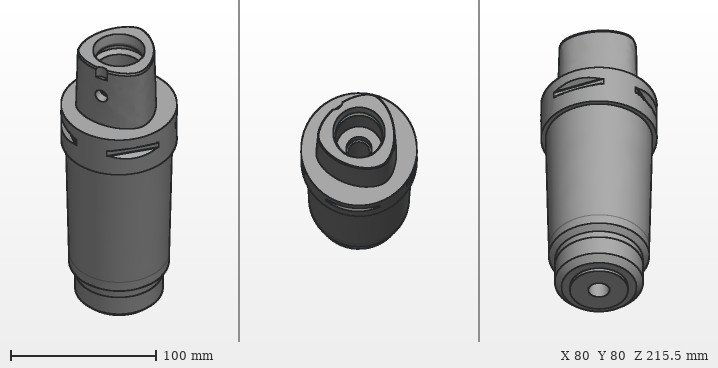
import cadquery as cq
import math

total_height = 215.5
flange_top = 168.0
flange_bottom = 137.5
flange_radius = 80.0 / 2

body_top_radius = 36.8
collar_radius = 34.7
collar_top = 38.8
collar_bottom = 31.0
nut_radius = 30.4
nut_top = 27.4
nut_seam = 22.0
nut_seam_step = 0.1
nut_bottom = 7.3
nut_face_radius = 25.8
nose_height = 2.5
nose_radius = 20.0

shank_radius = 55.4 / 2
lobe_height = 2.02
shank_taper = 1 / 40
shank_chamfer = 1.7
shank_chamfer_inset = 0.6
outline_points = 48

bore_mouth_radius = 17.9
bore_lip_radius = 16.4
bore_cone_depth = 7.0
bore_lip_depth = 8.6
bore_groove_radius = 19.8
bore_groove_depth = 14.2
bore_groove_flank_depth = 16.5
bore_radius = 16.2
bore_depth = 47.4
counterbore_radius = 8.8
counterbore_depth = 56.0
through_radius = 7.3

notch_radius = 5.8
notch_depth = 8.2
notch_inner_y = -22.2
blind_hole_radius = 4.7
blind_hole_floor_y = -18.0
blind_hole_z = 192.4

groove_z = 155.5
groove_floor_distance = 35.3
groove_flare_distance = 36.2
groove_floor_width = 4.3
groove_side_slope = math.tan(math.radians(32))
groove_count = 4
first_groove_angle = 45


def revolve_profile(points):
    """Revolve a closed (radius, height) outline about the Z axis."""
    return cq.Workplane("XZ").polyline(points).close().revolve(360, (0, 0), (0, 1))


def lobed_wire(mean_radius, z):
    """Constant-width outline with support function h = mean + lobe * cos(3 * turn), one lobe on +Y."""
    points = []
    for i in range(outline_points):
        turn = 2 * math.pi * i / outline_points
        support = mean_radius + lobe_height * math.cos(3 * turn)
        slope = -3 * lobe_height * math.sin(3 * turn)
        along = support * math.cos(turn) - slope * math.sin(turn)
        across = support * math.sin(turn) + slope * math.cos(turn)
        points.append(cq.Vector(-across, along, z))
    return cq.Wire.assembleEdges([cq.Edge.makeSpline(points, periodic=True)])


def make_body():
    return revolve_profile([
        (0, 0),
        (nose_radius, 0),
        (nose_radius, nose_height),
        (nut_face_radius, nose_height),
        (nut_radius + nut_seam_step, nut_bottom),
        (nut_radius + nut_seam_step, nut_seam),
        (nut_radius, nut_seam),
        (nut_radius, nut_top),
        (collar_radius, collar_bottom),
        (collar_radius, collar_top),
        (body_top_radius, flange_bottom),
        (flange_radius, flange_bottom),
        (flange_radius, flange_top),
        (0, flange_top),
    ])


def make_shank():
    chamfer_z = total_height - shank_chamfer
    chamfer_radius = shank_radius - shank_taper * (chamfer_z - flange_top)
    base = lobed_wire(shank_radius, flange_top)
    shoulder = lobed_wire(chamfer_radius, chamfer_z)
    face = lobed_wire(chamfer_radius - shank_chamfer_inset, total_height)
    taper = cq.Solid.makeLoft([base, shoulder], True)
    chamfer = cq.Solid.makeLoft([shoulder, face], True)
    return cq.Workplane(taper).union(cq.Workplane(chamfer))


def make_bore():
    groove_flank_top = total_height - bore_groove_depth
    bore_floor = total_height - bore_depth
    counterbore_floor = total_height - counterbore_depth
    return revolve_profile([
        (0, 0),
        (through_radius, 0),
        (through_radius, counterbore_floor),
        (counterbore_radius, counterbore_floor),
        (counterbore_radius, bore_floor),
        (bore_radius, bore_floor),
        (bore_radius, total_height - bore_groove_flank_depth),
        (bore_groove_radius, groove_flank_top),
        (bore_groove_radius, total_height - bore_lip_depth),
        (bore_lip_radius, total_height - bore_lip_depth),
        (bore_lip_radius, total_height - bore_cone_depth),
        (bore_mouth_radius, total_height),
        (0, total_height),
    ])


def make_notch():
    return (
        cq.Workplane("XY", origin=(0, notch_inner_y - notch_radius, total_height - notch_depth))
        .circle(notch_radius)
        .extrude(notch_depth)
    )


def make_blind_hole():
    """Flat-bottomed radial hole in the -Y side of the shank."""
    return (
        cq.Workplane("XZ", origin=(0, blind_hole_floor_y, blind_hole_z))
        .circle(blind_hole_radius)
        .extrude(flange_radius)
    )


def make_gripper_groove(angle):
    """Straight groove with a flat floor, short upright walls and flared sides, facing the given direction."""
    floor_half = groove_floor_width / 2
    mouth_half = floor_half + groove_side_slope * (flange_radius - groove_flare_distance)
    return (
        cq.Workplane("XZ")
        .polyline([
            (groove_floor_distance, groove_z - floor_half),
            (groove_flare_distance, groove_z - floor_half),
            (flange_radius, groove_z - mouth_half),
            (flange_radius, groove_z + mouth_half),
            (groove_flare_distance, groove_z + floor_half),
            (groove_floor_distance, groove_z + floor_half),
        ])
        .close()
        .extrude(flange_radius, both=True)
        .rotate((0, 0, 0), (0, 0, 1), angle)
    )


result = make_body().union(make_shank())
result = result.cut(make_bore()).cut(make_notch()).cut(make_blind_hole())
for index in range(groove_count):
    result = result.cut(make_gripper_groove(first_groove_angle + index * 360 / groove_count))